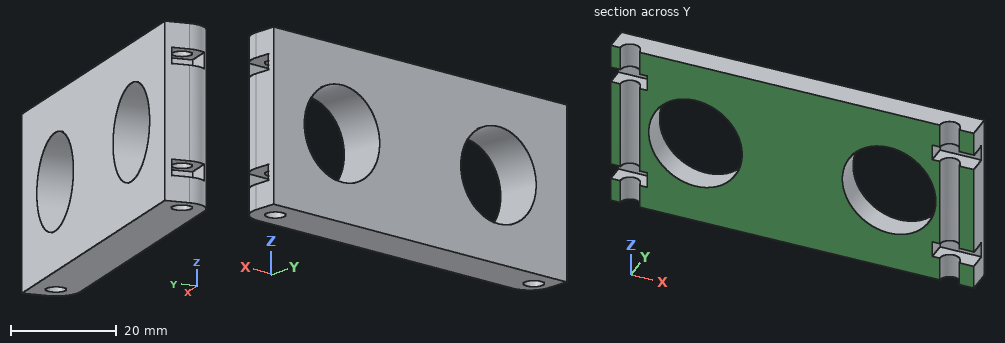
import cadquery as cq

length = 75.0
thickness = 10.0
height = 35.0
corner_radius = thickness / 2

bore_diameter = 19.2
bore_spacing = 40.0

bolt_diameter = 4.0
left_bolt_inset = 4.0
right_bolt_inset = 5.0
left_bolt_x = left_bolt_inset - length / 2
right_bolt_x = length / 2 - right_bolt_inset

slot_width = 7.05
slot_height = 3.15
slot_end_gap = 5.0
left_slot_depth = left_bolt_inset + slot_width / 2
right_slot_depth = right_bolt_inset + slot_width / 2
slot_z = height / 2 - slot_end_gap - slot_height / 2


def block():
    """Plate with its two front vertical edges rounded."""
    plate = cq.Workplane("XY").box(length, thickness, height)
    return plate.edges("|Z and <Y").fillet(corner_radius)


def bores():
    return (
        cq.Workplane("XZ")
        .pushPoints([(-bore_spacing / 2, 0), (bore_spacing / 2, 0)])
        .circle(bore_diameter / 2)
        .extrude(thickness, both=True)
    )


def bolt_holes():
    return (
        cq.Workplane("XY")
        .pushPoints([(left_bolt_x, 0), (right_bolt_x, 0)])
        .circle(bolt_diameter / 2)
        .extrude(height, both=True)
    )


def nut_slots(depth, center_x):
    """Upper and lower nut slots at one end of the plate."""
    return (
        cq.Workplane("XY")
        .pushPoints([cq.Vector(center_x, 0, -slot_z), cq.Vector(center_x, 0, slot_z)])
        .box(depth, slot_width, slot_height)
    )


left_slots = nut_slots(left_slot_depth, (left_slot_depth - length) / 2)
right_slots = nut_slots(right_slot_depth, (length - right_slot_depth) / 2)

result = block().cut(bores()).cut(bolt_holes()).cut(left_slots).cut(right_slots)